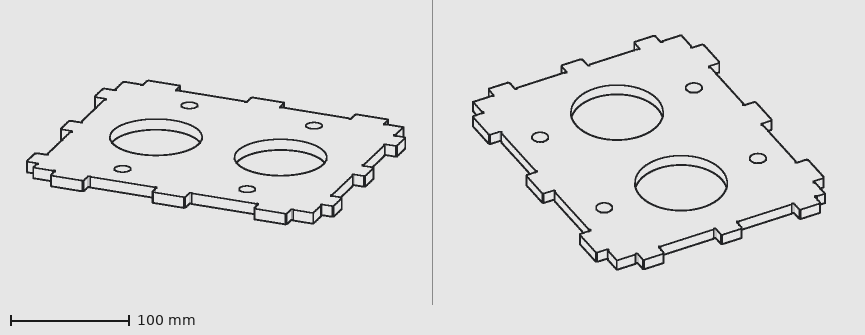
import cadquery as cq

length = 276.0
width = 220.0
thickness = 10.0

tab_height = 10.2
long_tab = 30.0
short_tab = 20.1
tab_chamfer = 0.97
relief_radius = 0.97

body_length = length - 2 * tab_height
body_width = width - 2 * tab_height

back_tabs = (-95.0, 0, 95.0)
front_tabs = (-92.7, 0, 92.7)
right_tabs = (-69.8, 0, 69.8)
left_tabs = (-80.0, -5.0, 69.8)

column_offset = 56.9
opening_diameter = 77.8
bolt_hole_diameter = 13.8
bolt_hole_offset = 73.7


def drill(plate, points, diameter):
    """Cut round holes through the plate."""
    holes = cq.Workplane("XY").pushPoints(points).circle(diameter / 2).extrude(thickness)
    return plate.cut(holes)


def add_tabs(plate, root_points, size_x, size_y):
    """Join tabs centred on points of the body edge; their inner halves merge into the body."""
    tabs = (
        cq.Workplane("XY")
        .pushPoints(root_points)
        .rect(size_x, size_y)
        .extrude(thickness)
        .edges("|Z")
        .chamfer(tab_chamfer)
    )
    return plate.union(tabs)


def add_tabs_along_x(plate, centres, edge_y):
    """Add the long tabs, with root reliefs, to the front or back edge."""
    plate = add_tabs(plate, [(x, edge_y) for x in centres], long_tab, 2 * tab_height)
    offset = long_tab / 2 + relief_radius
    reliefs = [(x + shift, edge_y) for x in centres for shift in (-offset, offset)]
    return drill(plate, reliefs, 2 * relief_radius)


def add_tabs_along_y(plate, centres, edge_x):
    """Add the short tabs, with root reliefs, to the left or right edge."""
    plate = add_tabs(plate, [(edge_x, y) for y in centres], 2 * tab_height, short_tab)
    offset = short_tab / 2 + relief_radius
    reliefs = [(edge_x, y + shift) for y in centres for shift in (-offset, offset)]
    return drill(plate, reliefs, 2 * relief_radius)


plate = cq.Workplane("XY").box(body_length, body_width, thickness, centered=(True, True, False))

plate = add_tabs_along_x(plate, front_tabs, -body_width / 2)
plate = add_tabs_along_x(plate, back_tabs, body_width / 2)
plate = add_tabs_along_y(plate, left_tabs, -body_length / 2)
plate = add_tabs_along_y(plate, right_tabs, body_length / 2)

columns = (-column_offset, column_offset)
plate = drill(plate, [(x, 0) for x in columns], opening_diameter)
bolt_points = [(x, y) for x in columns for y in (-bolt_hole_offset, bolt_hole_offset)]
result = drill(plate, bolt_points, bolt_hole_diameter)